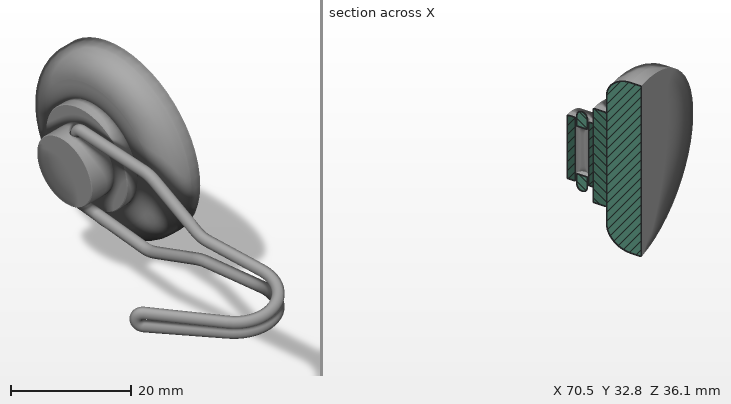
import cadquery as cq
import math

cup_diameter = 36.05
cup_rim_height = 2.0
cup_round = 4.65
cup_height = cup_rim_height + cup_round

washer_diameter = 19.95
washer_height = 2.5

knob_diameter = 13.5
knob_height = 5.0
edge_chamfer = 0.15
pivot_hole_diameter = 2.5
pivot_offset = 2.1

wire_diameter = 2.1
wire_depth = cup_height + washer_height + pivot_offset
wire_insertion = 1.75
elbow_z = 7.7
elbow_radius = 1.3
shoulder_x = 17.7
shoulder_z = 8.2
neck_x = 30.45
neck_z = 2.3
arm_bend_radius = 6.0

hook_x = 44.15
hook_depth = 16.4
hook_radius = 7.25
tip_slope = 39.0
hook_corner_z = 0.55
tip_x = 36.7
tip_half_width = 1.4


def disc(diameter, height, base_depth):
    """Disc whose back face lies base_depth in front of the XZ plane."""
    return (
        cq.Workplane("XZ", origin=(0, -base_depth, 0))
        .circle(diameter / 2)
        .extrude(height)
    )


def make_cup():
    return disc(cup_diameter, cup_height, 0).faces("<Y").edges().fillet(cup_round)


def make_washer():
    return disc(washer_diameter, washer_height, cup_height).edges().chamfer(edge_chamfer)


def make_knob():
    knob = disc(knob_diameter, knob_height, cup_height + washer_height)
    knob = knob.faces("<Y").edges().chamfer(edge_chamfer)
    pivot_hole = (
        cq.Workplane("XY", origin=(0, -wire_depth, 0))
        .circle(pivot_hole_diameter / 2)
        .extrude(knob_diameter, both=True)
    )
    return knob.cut(pivot_hole)


def hook_corner_and_tip():
    """Corner where the straight arms either side of the hook bend would meet, and the tip."""
    neck_y = -wire_depth
    to_centre_x = hook_x - neck_x
    to_centre_y = -hook_depth - neck_y
    centre_distance = math.hypot(to_centre_x, to_centre_y)
    rise = math.atan2(to_centre_y, to_centre_x) + math.asin(hook_radius / centre_distance)
    tip_angle = math.radians(tip_slope)
    start_normal = math.pi / 2 + rise
    end_normal = tip_angle - math.pi / 2
    middle = (start_normal + end_normal) / 2
    reach = hook_radius / math.cos((start_normal - end_normal) / 2)
    corner_x = hook_x + reach * math.cos(middle)
    corner_y = -hook_depth + reach * math.sin(middle)
    tip_y = corner_y - (corner_x - tip_x) * math.tan(tip_angle)
    corner = cq.Vector(corner_x, corner_y, hook_corner_z)
    return corner, cq.Vector(tip_x, tip_y, tip_half_width)


def rounded_path(start, corners, end):
    """Edges from start to end with each (corner, radius) replaced by a tangent arc."""
    edges = []
    position = start
    following = [corner for corner, _ in corners[1:]] + [end]
    for (corner, radius), next_point in zip(corners, following):
        incoming = (corner - position).normalized()
        outgoing = (next_point - corner).normalized()
        half_turn = incoming.getAngle(outgoing) / 2
        setback = radius * math.tan(half_turn)
        arc_start = corner - incoming * setback
        arc_end = corner + outgoing * setback
        inward = (outgoing - incoming).normalized()
        arc_middle = corner + inward * (radius / math.cos(half_turn) - radius)
        edges.append(cq.Edge.makeLine(position, arc_start))
        edges.append(cq.Edge.makeThreePointArc(arc_start, arc_middle, arc_end))
        position = arc_end
    edges.append(cq.Edge.makeLine(position, end))
    return edges


def make_hook():
    wire_end = cq.Vector(0, -wire_depth, knob_diameter / 2 - wire_insertion)
    elbow = cq.Vector(0, -wire_depth, elbow_z)
    shoulder = cq.Vector(shoulder_x, -wire_depth, shoulder_z)
    neck = cq.Vector(neck_x, -wire_depth, neck_z)
    hook_corner, tip_corner = hook_corner_and_tip()
    corners = [
        (elbow, elbow_radius),
        (shoulder, arm_bend_radius),
        (neck, arm_bend_radius),
        (hook_corner, hook_radius),
    ]

    turn_start = tip_corner + (hook_corner - tip_corner).normalized() * tip_half_width
    turn_middle = cq.Vector(tip_corner.x, tip_corner.y, 0)
    turn_end = cq.Vector(turn_start.x, turn_start.y, -turn_start.z)
    turn = cq.Edge.makeThreePointArc(turn_start, turn_middle, turn_end)

    upper_arm = rounded_path(wire_end, corners, turn_start)
    lower_arm = [edge.mirror("XY") for edge in reversed(upper_arm)]
    path = cq.Wire.assembleEdges(upper_arm + [turn] + lower_arm)
    return (
        cq.Workplane("XY", origin=wire_end.toTuple())
        .circle(wire_diameter / 2)
        .sweep(cq.Workplane(path))
    )


cup = make_cup()
washer = make_washer()
knob = make_knob()
hook = make_hook()

bodies = [cup, washer, knob, hook]
result = cq.Compound.makeCompound([body.solids().val() for body in bodies])